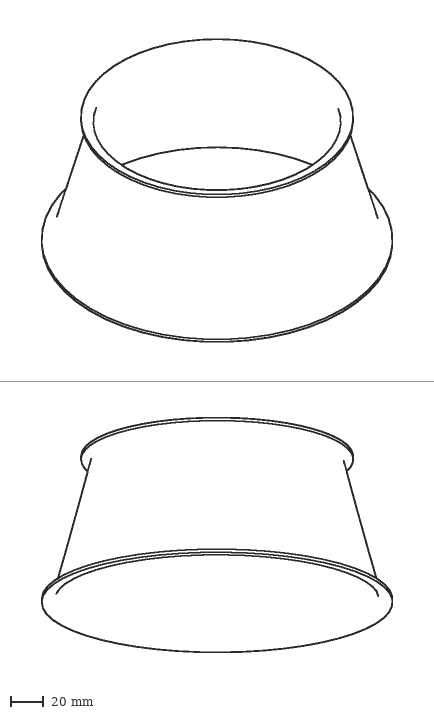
import cadquery as cq
import math

height = 93.0
wall = 2.0
bend_radius = 2.0
bottom_flange_radius = 107.0
top_flange_radius = 166.1 / 2
bottom_bend_center_r = 102.1
top_bend_center_r = 79.5

inner_bend_radius = bend_radius + wall
bottom_bend_center_z = inner_bend_radius
top_bend_center_z = height - inner_bend_radius

cone_slope = math.atan2(
    bottom_bend_center_r - top_bend_center_r,
    top_bend_center_z - bottom_bend_center_z,
)
CONE_DIRECTION = math.pi + cone_slope
UP = math.pi / 2
DOWN = 3 * math.pi / 2


def top_bend(radius, angle):
    """Profile point on the bend that joins the cone to the top flange."""
    return (
        top_bend_center_r + radius * math.cos(angle),
        top_bend_center_z + radius * math.sin(angle),
    )


def bottom_bend(radius, angle):
    """Profile point on the bend that joins the cone to the bottom flange."""
    return (
        bottom_bend_center_r + radius * math.cos(angle),
        bottom_bend_center_z + radius * math.sin(angle),
    )


top_mid_angle = (UP + CONE_DIRECTION) / 2
bottom_mid_angle = (DOWN + CONE_DIRECTION) / 2

profile = (
    cq.Workplane("XZ")
    .moveTo(top_flange_radius, height)
    .lineTo(*top_bend(inner_bend_radius, UP))
    .threePointArc(
        top_bend(inner_bend_radius, top_mid_angle),
        top_bend(inner_bend_radius, CONE_DIRECTION),
    )
    .lineTo(*bottom_bend(inner_bend_radius, CONE_DIRECTION))
    .threePointArc(
        bottom_bend(inner_bend_radius, bottom_mid_angle),
        bottom_bend(inner_bend_radius, DOWN),
    )
    .lineTo(bottom_flange_radius, 0)
    .lineTo(bottom_flange_radius, wall)
    .lineTo(*bottom_bend(bend_radius, DOWN))
    .threePointArc(
        bottom_bend(bend_radius, bottom_mid_angle),
        bottom_bend(bend_radius, CONE_DIRECTION),
    )
    .lineTo(*top_bend(bend_radius, CONE_DIRECTION))
    .threePointArc(
        top_bend(bend_radius, top_mid_angle),
        top_bend(bend_radius, UP),
    )
    .lineTo(top_flange_radius, height - wall)
    .close()
)

result = profile.revolve(360, (0, 0, 0), (0, 1, 0))